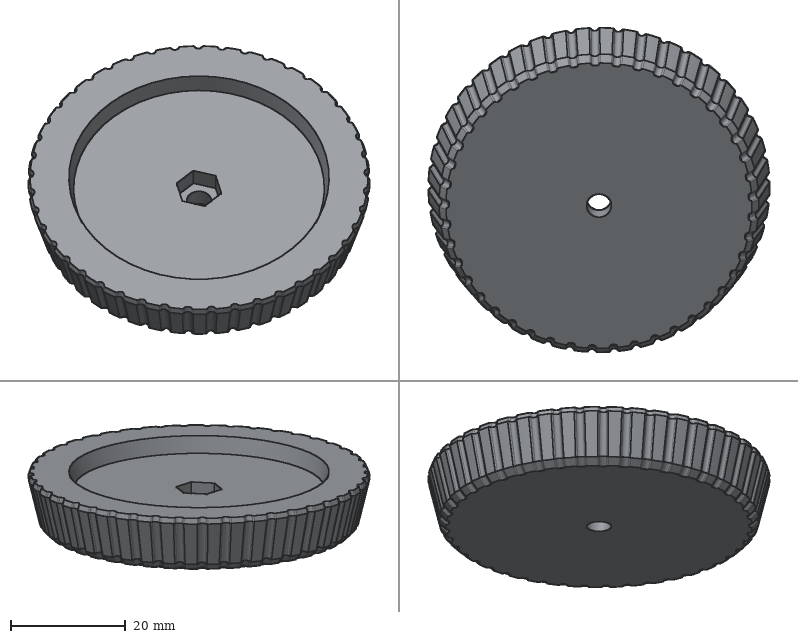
import cadquery as cq
import math

height = 10.0
outer_radius = 29.7
top_radius = 29.3
top_bevel_height = 0.95
waist_radius = 27.8
bottom_bevel = 1.2
bottom_radius = waist_radius - bottom_bevel

recess_top_radius = 22.6
recess_floor_radius = 21.8
recess_depth = 2.95
recess_floor_z = height - recess_depth

nut_across_flats = 7.0
nut_depth = 3.5
bore_diameter = 4.3

flute_count = 45
first_flute_angle = 90.0
flute_depth = 0.55
flute_radius = 0.8
lip_radius = 0.5
cutter_overhang = 0.3
end_overrun = 0.3

outer_profile = [
    (bottom_radius, 0),
    (waist_radius, bottom_bevel),
    (outer_radius, height - top_bevel_height),
    (top_radius, height),
]


def make_body():
    outline = [(0, 0)] + outer_profile + [(0, height)]
    return cq.Workplane("XZ").polyline(outline).close().revolve(360, (0, 0), (0, 1))


def make_recess():
    outline = [
        (0, recess_floor_z),
        (recess_floor_radius, recess_floor_z),
        (recess_top_radius, height),
        (0, height),
    ]
    return cq.Workplane("XZ").polyline(outline).close().revolve(360, (0, 0), (0, 1))


def make_nut_pocket():
    across_corners = nut_across_flats / math.cos(math.pi / 6)
    return (
        cq.Workplane("XY")
        .workplane(offset=recess_floor_z - nut_depth)
        .polygon(6, across_corners)
        .extrude(nut_depth)
    )


def make_bore():
    return cq.Workplane("XY").circle(bore_diameter / 2).extrude(height)


def extend(start, end, distance):
    """Return the point lying the given distance past end on the line from start."""
    length = math.dist(start, end)
    return tuple(e + (e - s) * distance / length for s, e in zip(start, end))


def make_flute_cutter():
    """One flute on the +X side, swept along the outer profile."""
    bottom, waist, widest, top = outer_profile
    first = extend(waist, bottom, end_overrun)
    last = extend(widest, top, end_overrun)
    path = cq.Workplane("XZ").polyline([first, waist, widest, last])

    run, rise = waist[0] - first[0], waist[1] - first[1]
    section_plane = cq.Plane(
        origin=(first[0], 0, first[1]), xDir=(0, -1, 0), normal=(run, 0, rise)
    )

    flute_center_y = flute_radius - flute_depth
    center_distance = flute_radius + lip_radius
    lip_x = math.sqrt(center_distance**2 - (flute_center_y + lip_radius) ** 2)
    flute_share = flute_radius / center_distance
    joint_x = lip_x * flute_share
    joint_y = flute_center_y - (flute_center_y + lip_radius) * flute_share
    lip_angle = (math.pi / 2 + math.atan2(joint_y + lip_radius, joint_x - lip_x)) / 2
    lip_mid_x = lip_x + lip_radius * math.cos(lip_angle)
    lip_mid_y = -lip_radius + lip_radius * math.sin(lip_angle)

    section = (
        cq.Workplane(section_plane)
        .moveTo(-lip_x, cutter_overhang)
        .lineTo(-lip_x, 0)
        .threePointArc((-lip_mid_x, lip_mid_y), (-joint_x, joint_y))
        .threePointArc((0, -flute_depth), (joint_x, joint_y))
        .threePointArc((lip_mid_x, lip_mid_y), (lip_x, 0))
        .lineTo(lip_x, cutter_overhang)
        .close()
    )
    return section.sweep(path, transition="right")


def make_flutes():
    cutter = make_flute_cutter().val()
    pitch = 360 / flute_count
    return [
        cutter.rotate((0, 0, 0), (0, 0, 1), first_flute_angle + index * pitch)
        for index in range(flute_count)
    ]


blank = make_body().cut(make_recess()).cut(make_nut_pocket()).cut(make_bore())
fluted = blank.val().cut(*make_flutes())
result = cq.Workplane("XY").newObject([fluted.Solids()[0]])